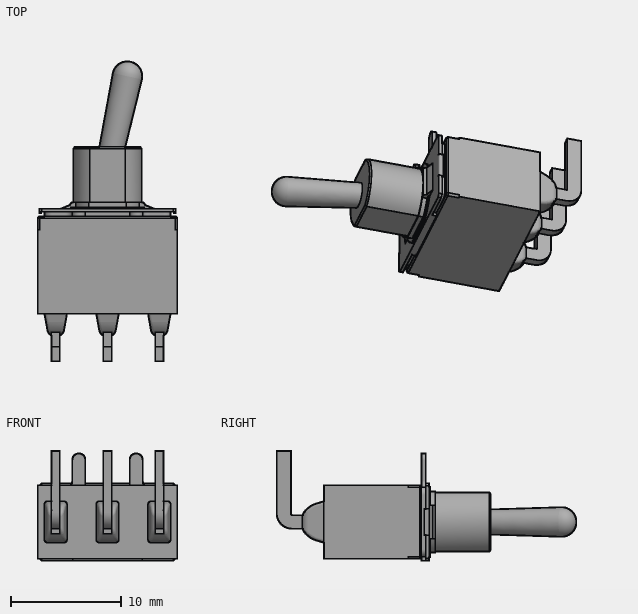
import cadquery as cq
import math


BODY_WIDTH = 12.7
BODY_HEIGHT = 6.68
BODY_DEPTH = 8.85
BODY_RIM_CHAMFER = 0.15
CORNER_RELIEF = 0.2
CORNER_RELIEF_DEPTH = 1.2

BRACKET_THICKNESS = 0.4
BRACKET_HALF_WIDTH = 5.73
BRACKET_HALF_HEIGHT = 3.16
BRACKET_CORNER_RADIUS = 0.67
TAB_SPACING = 5.2
TAB_WIDTH = 1.2
TAB_TOP = 6.23
TAB_ROOT_RADIUS = 0.6
TONGUE_HALF_WIDTH = 3.15

COVER_THICKNESS = 0.3
COVER_HALF_WIDTH = 6.2
COVER_HALF_HEIGHT = 3.52
COVER_CORNER_CHAMFER = 0.25
LIP_HALF_HEIGHT = 1.2
LIP_THICKNESS = 0.2
LIP_LENGTH = 0.43
LIP_BEND_RADIUS = 0.17

BUSHING_RADIUS = 3.12
BUSHING_HALF_FLAT = 2.68
BUSHING_END = 15.15
BUSHING_CHAMFER = 0.15
COLLAR_RADIUS = 3.26
COLLAR_HALF_FLAT = 2.78
COLLAR_END = 10.12
STEP_RADIUS = 3.66
STEP_HALF_FLAT = 3.18
STEP_HEIGHT = 0.12
RIB_HALF_HEIGHT = 1.52
RIB_REACH = 4.25
RIB_KNEE_X = 3.45
RIB_KNEE_Y = 9.87

LEVER_END = 22.92
LEVER_TIP_RADIUS = 1.36
LEVER_NECK_RADIUS = 1.16
LEVER_TILT = 12.1
LEVER_PIVOT_Y = 13.15

TERMINAL_COUNT = 3
TERMINAL_PITCH = 4.7
PIN_THICKNESS = 0.78
PIN_LEG_WIDTH = 1.33
PIN_HALF_HEIGHT = 0.62
PIN_REACH = 4.3
PIN_TOP = 6.46
PIN_INNER_RADIUS = 0.1
PIN_OUTER_RADIUS = PIN_INNER_RADIUS + PIN_LEG_WIDTH

SEAL_LENGTH = 2.05
SEAL_BASE_HALF_WIDTH = 1.03
SEAL_TIP_HALF_WIDTH = 0.66
SEAL_BASE_HALF_HEIGHT = 1.88
SEAL_SHOULDER_HALF_HEIGHT = 1.67
SEAL_SHOULDER_Y = 0.73
SEAL_ARC_HALF_HEIGHT = 1.09
SEAL_ARC_Y = 1.63
SEAL_TIP_HALF_HEIGHT = 0.45
SEAL_EDGE_RADIUS = 0.3
SEAL_TIP_RADIUS = 0.74
SEAL_SLOT_FLOOR_Y = 1.67

BRACKET_BACK = BODY_DEPTH
COVER_BACK = BRACKET_BACK + BRACKET_THICKNESS
COVER_FRONT = COVER_BACK + COVER_THICKNESS


def block(x_range, y_range, z_range):
    """Box between pairs of limits along each axis."""
    limits = (x_range, y_range, z_range)
    size = [high - low for low, high in limits]
    return cq.Workplane("XY").box(*size, centered=False).translate([low for low, high in limits])


def plane_facing_front(y):
    """Workplane at depth y whose local axes are X and Z; extrude by a negative length for +Y."""
    return cq.Workplane("XZ", origin=(0, y, 0))


def make_body():
    half_width = BODY_WIDTH / 2
    half_height = BODY_HEIGHT / 2
    body = block((-half_width, half_width), (0, BODY_DEPTH), (-half_height, half_height))
    relieved = (
        plane_facing_front(BODY_DEPTH - CORNER_RELIEF_DEPTH)
        .rect(BODY_WIDTH, BODY_HEIGHT)
        .extrude(-CORNER_RELIEF_DEPTH)
        .edges("|Y")
        .chamfer(CORNER_RELIEF)
        .faces(">Y")
        .chamfer(BODY_RIM_CHAMFER)
    )
    plain = block(
        (-half_width, half_width), (0, BODY_DEPTH - CORNER_RELIEF_DEPTH), (-half_height, half_height)
    )
    return body.intersect(plain.union(relieved))


def make_tab(side):
    """Board tab with a round tip and a fillet at the outer side of its root."""
    centre = side * TAB_SPACING / 2
    outer = centre + side * TAB_WIDTH / 2
    inner = centre - side * TAB_WIDTH / 2
    tip_z = TAB_TOP - TAB_WIDTH / 2
    diagonal = TAB_ROOT_RADIUS * (1 - math.sqrt(0.5))
    return (
        plane_facing_front(BRACKET_BACK)
        .moveTo(inner, 0)
        .lineTo(inner, tip_z)
        .threePointArc((centre, TAB_TOP), (outer, tip_z))
        .lineTo(outer, BRACKET_HALF_HEIGHT + TAB_ROOT_RADIUS)
        .threePointArc(
            (outer + side * diagonal, BRACKET_HALF_HEIGHT + diagonal),
            (outer + side * TAB_ROOT_RADIUS, BRACKET_HALF_HEIGHT),
        )
        .lineTo(outer + side * TAB_ROOT_RADIUS, 0)
        .close()
        .extrude(-BRACKET_THICKNESS)
    )


def make_bracket():
    bracket = (
        plane_facing_front(BRACKET_BACK)
        .rect(2 * BRACKET_HALF_WIDTH, 2 * BRACKET_HALF_HEIGHT)
        .extrude(-BRACKET_THICKNESS)
        .edges("|Y")
        .fillet(BRACKET_CORNER_RADIUS)
    )
    tongue = block(
        (-TONGUE_HALF_WIDTH, TONGUE_HALF_WIDTH), (BRACKET_BACK, COVER_BACK), (-COVER_HALF_HEIGHT, 0)
    )
    return bracket.union(tongue).union(make_tab(-1)).union(make_tab(1))


def make_cover():
    cover = (
        plane_facing_front(COVER_BACK)
        .rect(2 * COVER_HALF_WIDTH, 2 * COVER_HALF_HEIGHT)
        .extrude(-COVER_THICKNESS)
        .edges("|Y")
        .chamfer(COVER_CORNER_CHAMFER)
    )
    lip_start = COVER_HALF_WIDTH - LIP_THICKNESS
    lip = block(
        (lip_start, COVER_HALF_WIDTH),
        (COVER_FRONT - LIP_LENGTH, COVER_FRONT),
        (-LIP_HALF_HEIGHT, LIP_HALF_HEIGHT),
    )
    bent_lip = lip.edges(">X and >Y").fillet(LIP_BEND_RADIUS)
    for sharp, bent in ((lip, bent_lip), (lip.mirror("YZ"), bent_lip.mirror("YZ"))):
        cover = cover.cut(sharp).union(bent)
    return cover


def flatted_cylinder(radius, half_flat, y_start, y_end):
    """Cylinder along Y with flats facing +Z and -Z."""
    length = y_end - y_start
    flats = plane_facing_front(y_start).rect(2 * radius, 2 * half_flat).extrude(-length)
    return plane_facing_front(y_start).circle(radius).extrude(-length).intersect(flats)


def make_bushing():
    step_end = COVER_FRONT + STEP_HEIGHT
    thread = flatted_cylinder(BUSHING_RADIUS, BUSHING_HALF_FLAT, COVER_FRONT, BUSHING_END)
    thread = thread.faces(">Y").chamfer(BUSHING_CHAMFER)
    collar = flatted_cylinder(COLLAR_RADIUS, COLLAR_HALF_FLAT, COVER_FRONT, COLLAR_END)
    step = flatted_cylinder(STEP_RADIUS, STEP_HALF_FLAT, COVER_FRONT, step_end)
    ribs = (
        cq.Workplane("XY")
        .polyline(
            [
                (-RIB_REACH, COVER_FRONT),
                (-RIB_KNEE_X, RIB_KNEE_Y),
                (-COLLAR_RADIUS, COLLAR_END),
                (COLLAR_RADIUS, COLLAR_END),
                (RIB_KNEE_X, RIB_KNEE_Y),
                (RIB_REACH, COVER_FRONT),
            ]
        )
        .close()
        .extrude(RIB_HALF_HEIGHT, both=True)
    )
    return thread.union(collar).union(step).union(ribs)


def make_lever():
    """Tapered stick with a spherical end, tilted toward +X about its pivot."""
    tilt = math.radians(LEVER_TILT)
    tip_distance = (LEVER_END - LEVER_TIP_RADIUS - LEVER_PIVOT_Y) / math.cos(tilt)
    neck_distance = (BUSHING_END - LEVER_PIVOT_Y) / math.cos(tilt)
    taper = (LEVER_TIP_RADIUS - LEVER_NECK_RADIUS) / (tip_distance - neck_distance)
    pivot_radius = LEVER_NECK_RADIUS - taper * neck_distance
    diagonal = LEVER_TIP_RADIUS * math.sqrt(0.5)
    return (
        cq.Workplane("XY")
        .lineTo(-pivot_radius, 0)
        .lineTo(-LEVER_TIP_RADIUS, tip_distance)
        .threePointArc((-diagonal, tip_distance + diagonal), (0, tip_distance + LEVER_TIP_RADIUS))
        .close()
        .revolve(360, (0, 0, 0), (0, 1, 0))
        .rotate((0, 0, 0), (0, 0, 1), -LEVER_TILT)
        .translate((0, LEVER_PIVOT_Y, 0))
    )


def make_pin():
    """Flat terminal leaving the body along -Y and bent up toward +Z."""
    leg_inner_y = PIN_LEG_WIDTH - PIN_REACH
    pin = (
        cq.Workplane("YZ")
        .polyline(
            [
                (0, -PIN_HALF_HEIGHT),
                (-PIN_REACH, -PIN_HALF_HEIGHT),
                (-PIN_REACH, PIN_TOP),
                (leg_inner_y, PIN_TOP),
                (leg_inner_y, PIN_HALF_HEIGHT),
                (0, PIN_HALF_HEIGHT),
            ]
        )
        .close()
        .extrude(PIN_THICKNESS / 2, both=True)
    )
    pin = pin.edges("|X and <Y and <Z").fillet(PIN_OUTER_RADIUS)
    inner_corner = cq.selectors.NearestToPointSelector((0, leg_inner_y, PIN_HALF_HEIGHT))
    return pin.edges("|X").edges(inner_corner).fillet(PIN_INNER_RADIUS)


def make_seal():
    """Arched seal, tapered in width toward its tip, with rounded edges and a pin-wide slot across the tip."""
    arch = (
        cq.Workplane("YZ")
        .moveTo(0, SEAL_BASE_HALF_HEIGHT)
        .lineTo(-SEAL_SHOULDER_Y, SEAL_SHOULDER_HALF_HEIGHT)
        .threePointArc((-SEAL_ARC_Y, SEAL_ARC_HALF_HEIGHT), (-SEAL_LENGTH, SEAL_TIP_HALF_HEIGHT))
        .lineTo(-SEAL_LENGTH, -SEAL_TIP_HALF_HEIGHT)
        .threePointArc(
            (-SEAL_ARC_Y, -SEAL_ARC_HALF_HEIGHT), (-SEAL_SHOULDER_Y, -SEAL_SHOULDER_HALF_HEIGHT)
        )
        .lineTo(0, -SEAL_BASE_HALF_HEIGHT)
        .close()
        .extrude(SEAL_BASE_HALF_WIDTH, both=True)
    )
    taper = (
        cq.Workplane("XY")
        .polyline(
            [
                (-SEAL_BASE_HALF_WIDTH, 0),
                (-SEAL_TIP_HALF_WIDTH, -SEAL_LENGTH),
                (SEAL_TIP_HALF_WIDTH, -SEAL_LENGTH),
                (SEAL_BASE_HALF_WIDTH, 0),
            ]
        )
        .close()
        .extrude(SEAL_BASE_HALF_HEIGHT, both=True)
    )
    seal = arch.intersect(taper)
    seal = seal.faces("<Y").edges("|Z").fillet(SEAL_TIP_RADIUS)
    seal = seal.edges("not(|X or |Z)").fillet(SEAL_EDGE_RADIUS)
    slot = block(
        (-PIN_THICKNESS / 2, PIN_THICKNESS / 2),
        (-SEAL_LENGTH, -SEAL_SLOT_FLOOR_Y),
        (-SEAL_BASE_HALF_HEIGHT, SEAL_BASE_HALF_HEIGHT),
    )
    return seal.cut(slot)


def make_terminals():
    terminal = make_seal().union(make_pin())
    terminals = cq.Workplane("XY")
    for index in range(TERMINAL_COUNT):
        offset = (index - (TERMINAL_COUNT - 1) / 2) * TERMINAL_PITCH
        terminals = terminals.add(terminal.translate((offset, 0, 0)))
    return terminals.combine()


result = (
    make_body()
    .union(make_bracket())
    .union(make_cover())
    .union(make_bushing())
    .union(make_lever())
    .union(make_terminals())
)